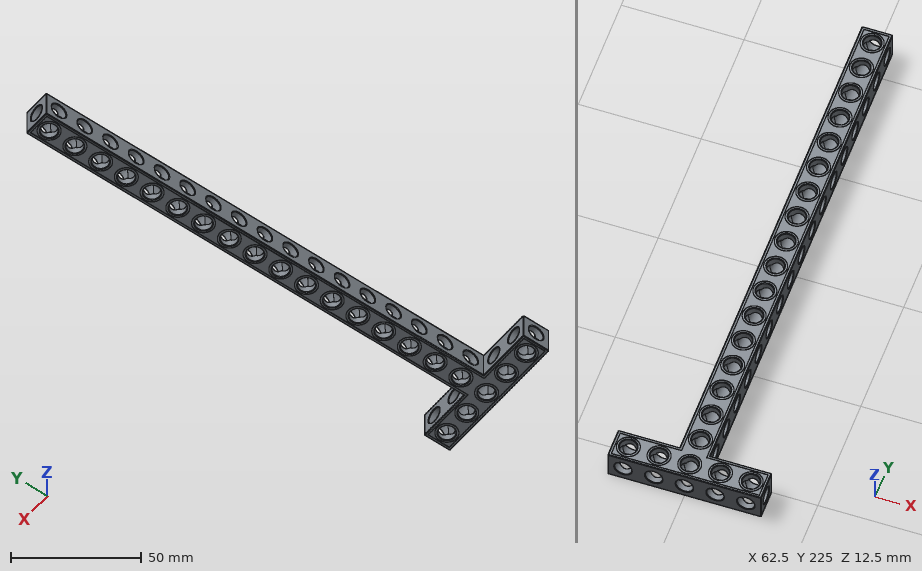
import cadquery as cq
beam_length = 225.0
stem_count = 18
bar_count = 5
hole_diameter = 7.0
rim_diameter = 9.2
edge_break = 0.3
recess_depth = 0.2

pitch = beam_length / stem_count
half_pitch = pitch / 2
bar_length = bar_count * pitch
stem_middle = (beam_length - pitch) / 2

rim_width = (rim_diameter - hole_diameter) / 2

stem_places = [i * pitch for i in range(stem_count)]
bar_places = [(i - (bar_count - 1) / 2) * pitch for i in range(bar_count)]
upright_points = [(0, y) for y in stem_places] + [(x, 0) for x in bar_places if x != 0]
bar_points = [(x, 0) for x in bar_places]


def make_legs(inset, height):
    """Bar along X and stem along Y of a T lying inside the beam's outline by the inset."""
    width = pitch - 2 * inset
    bar = cq.Workplane("XY").box(bar_length - 2 * inset, width, height)
    stem = cq.Workplane("XY", origin=(0, stem_middle, 0)).box(width, beam_length - 2 * inset, height)
    return bar, stem


def make_cylinders(plane, points, diameter, middle, length):
    """Cylinders along the plane's normal, centred on a middle point."""
    sketch = cq.Workplane(plane, origin=middle).pushPoints(points).circle(diameter / 2)
    return sketch.extrude(length / 2, both=True)


def make_beam():
    """Square-section T with chamfered outer edges and a sharp inner corner."""
    bar, stem = make_legs(0, pitch)
    return bar.edges().chamfer(edge_break).union(stem.edges().chamfer(edge_break))


def drill_grid(beam):
    """Through holes along all three axes, with their mouths chamfered."""
    centre = (0, 0, 0)
    stem_points = [(y, 0) for y in stem_places]
    beam = beam.cut(make_cylinders("XY", upright_points, hole_diameter, centre, pitch))
    beam = beam.cut(make_cylinders("YZ", stem_points, hole_diameter, centre, bar_length))
    beam = beam.cut(make_cylinders("XZ", bar_points, hole_diameter, (0, stem_middle, 0), beam_length))
    mouths = beam.faces("|X or |Y or |Z").edges("%CIRCLE")
    return mouths.chamfer(edge_break)


def make_recess(floor_side):
    """Shallow recess of the top (+1) or bottom (-1) face, leaving lands at the outline and holes."""
    bar, stem = make_legs(rim_width, recess_depth)
    lands = make_cylinders("XY", upright_points, rim_diameter, (0, 0, 0), recess_depth)
    height = floor_side * (half_pitch - recess_depth / 2)
    return bar.union(stem).cut(lands).translate((0, 0, height))


result = drill_grid(make_beam())
for side in (1, -1):
    result = result.cut(make_recess(side))